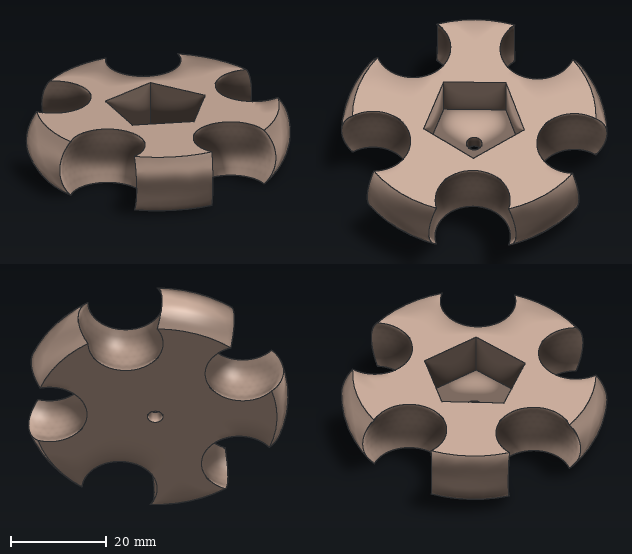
import cadquery as cq
import math

outer_radius = 27.8
face_radius = 25.45
thickness = 12.4
pocket_count = 5
ball_radius = 10.0
ball_circle_radius = 22.1
recess_radius = 11.05
floor_thickness = 3.0
hole_diameter = 3.2

half_thickness = thickness / 2
recess_depth = thickness - floor_thickness
pocket_angles = [90 + i * 360 / pocket_count for i in range(pocket_count)]


def polar(radius, angle):
    """Point in the XY plane at an angle in degrees from +X."""
    radians = math.radians(angle)
    return (radius * math.cos(radians), radius * math.sin(radians))


def make_disc():
    """Disc with a convex rim, centred on the origin."""
    return (
        cq.Workplane("XZ")
        .moveTo(0, -half_thickness)
        .lineTo(face_radius, -half_thickness)
        .threePointArc((outer_radius, 0), (face_radius, half_thickness))
        .lineTo(0, half_thickness)
        .close()
        .revolve(360, (0, 0), (0, 1))
    )


def make_ball(angle):
    """Sphere that cuts one pocket into the rim."""
    x, y = polar(ball_circle_radius, angle)
    return cq.Workplane("XY").sphere(ball_radius).translate((x, y, 0))


def make_recess():
    """Pentagonal prism opening at the top face, corners in line with the pockets."""
    corners = [polar(recess_radius, angle) for angle in pocket_angles]
    return (
        cq.Workplane("XY", origin=(0, 0, half_thickness))
        .polyline(corners)
        .close()
        .extrude(-recess_depth)
    )


def make_hole():
    """Central through hole."""
    return cq.Workplane("XY").circle(hole_diameter / 2).extrude(half_thickness, both=True)


result = make_disc()
for pocket_angle in pocket_angles:
    result = result.cut(make_ball(pocket_angle))
result = result.cut(make_recess()).cut(make_hole())